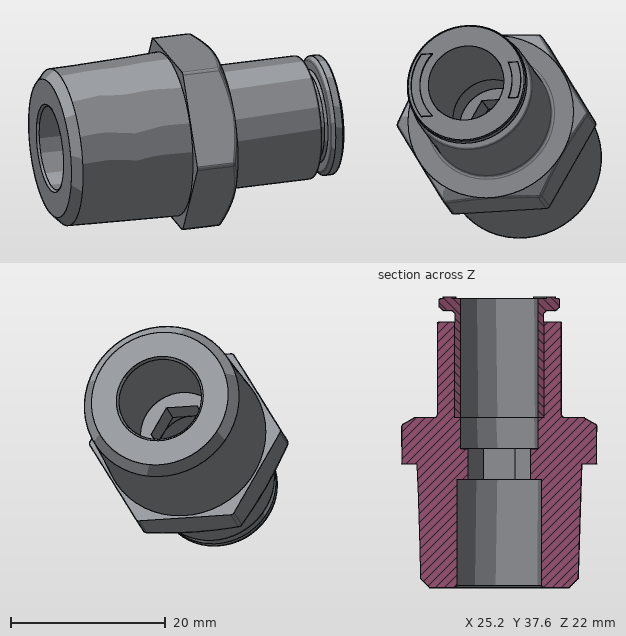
import cadquery as cq
import math


thread_length = 16.0
hex_length = 6.05
hex_end = thread_length + hex_length
sleeve_end = 34.4
collet_end = 37.45

thread_taper = 1 / 16
thread_large_radius = 10.7
thread_chamfer = 1.2

hex_across_flats = 22.0
hex_corner_radius = 0.5
hex_bevel_start_radius = 10.95
hex_bevel_angle = 30.0
hex_bevel_blend = 0.35

sleeve_radius = 8.05
sleeve_rim_round = 0.15
sleeve_root_fillet = 0.4

tube_radius = 5.0
inlet_radius = 5.45
inlet_chamfer = 0.3
inlet_depth = 14.0
key_across_flats = 7.0
key_web_thickness = 4.0
tube_stop = inlet_depth + key_web_thickness
collet_seat = hex_end

collet_radius = 5.75
flange_radius = 7.82
flange_thickness = 1.6
flange_bottom = collet_end - flange_thickness
flange_top_chamfer = 0.15
flange_bevel = 0.5
flange_edge_round = 0.25
neck_flare = 0.35

pad_height = 0.2
pad_inner_radius = 6.1
pad_outer_radius = 7.25
pad_widths = {1: 8.4, -1: 4.8}


def cylinder(radius, start, end):
    """Cylinder about the Y axis between two stations."""
    return cq.Workplane("XZ", origin=(0, start, 0)).circle(radius).extrude(start - end)


def hexagon(across_flats, start, end):
    """Hexagonal prism along Y with two flats facing +Z and -Z."""
    across_corners = across_flats / math.cos(math.radians(30))
    plane = cq.Workplane("XZ", origin=(0, start, 0))
    return plane.polygon(6, across_corners).extrude(start - end)


def revolved(points):
    """Solid turned about Y from a closed (radius, y) outline."""
    return cq.Workplane("XY").polyline(points).close().revolve(360, (0, 0, 0), (0, 1, 0))


def make_thread():
    chamfer_radius = thread_large_radius - thread_taper / 2 * (thread_length - thread_chamfer)
    return revolved([
        (0, 0),
        (chamfer_radius - thread_chamfer, 0),
        (chamfer_radius, thread_chamfer),
        (thread_large_radius, thread_length),
        (0, thread_length),
    ])


def make_hex():
    prism = hexagon(hex_across_flats, thread_length, hex_end).edges("|Y").fillet(hex_corner_radius)
    outer_radius = hex_across_flats
    bevel_drop = (outer_radius - hex_bevel_start_radius) * math.tan(math.radians(hex_bevel_angle))
    bevel_cutter = revolved([
        (hex_bevel_start_radius, hex_end),
        (outer_radius, hex_end),
        (outer_radius, hex_end - bevel_drop),
    ])
    beveled = prism.cut(bevel_cutter)
    bevel_edges = beveled.faces("%CONE").edges("not %CIRCLE")
    return bevel_edges.fillet(hex_bevel_blend)


def make_sleeve():
    sleeve = cylinder(sleeve_radius, hex_end, sleeve_end).faces(">Y").edges().fillet(sleeve_rim_round)
    root_radius = sleeve_radius + sleeve_root_fillet
    root = (
        cq.Workplane("XY")
        .moveTo(0, hex_end)
        .lineTo(root_radius, hex_end)
        .radiusArc((sleeve_radius, hex_end + sleeve_root_fillet), sleeve_root_fillet)
        .lineTo(0, hex_end + sleeve_root_fillet)
        .close()
        .revolve(360, (0, 0, 0), (0, 1, 0))
    )
    return sleeve.union(root)


def make_body():
    """Thread, hexagon and sleeve in one piece, bored from both ends around a hex key web."""
    body = make_thread().union(make_hex()).union(make_sleeve())
    inlet = cylinder(inlet_radius, 0, inlet_depth)
    inlet_mouth = revolved([
        (0, 0),
        (inlet_radius + inlet_chamfer, 0),
        (inlet_radius, inlet_chamfer),
        (0, inlet_chamfer),
    ])
    body = body.cut(inlet).cut(inlet_mouth)
    body = body.cut(hexagon(key_across_flats, inlet_depth, tube_stop))
    body = body.cut(cylinder(tube_radius, tube_stop, collet_seat))
    return body.cut(cylinder(collet_radius, collet_seat, sleeve_end))


def make_pad(side):
    """Raised arc on the collet face; side is +1 or -1 along X."""
    pad_top = collet_end + pad_height
    ring = cylinder(pad_outer_radius, collet_end, pad_top)
    ring = ring.cut(cylinder(pad_inner_radius, collet_end, pad_top))
    window = cq.Workplane("XY").box(pad_outer_radius, pad_height, pad_widths[side])
    window = window.translate((side * pad_outer_radius / 2, collet_end + pad_height / 2, 0))
    return ring.intersect(window)


def make_collet():
    """Release collet: a flanged tube sliding in the sleeve bore."""
    flange = cylinder(flange_radius, flange_bottom, collet_end)
    flange = flange.faces(">Y").edges().chamfer(flange_top_chamfer)
    flange = flange.faces("<Y").edges().chamfer(flange_bevel)
    flange = flange.faces("<Y").edges().fillet(flange_edge_round)
    flare = revolved([
        (0, flange_bottom),
        (collet_radius + neck_flare, flange_bottom),
        (collet_radius, flange_bottom - neck_flare),
        (0, flange_bottom - neck_flare),
    ])
    collet = cylinder(collet_radius, collet_seat, collet_end).union(flange).union(flare)
    collet = collet.cut(cylinder(tube_radius, collet_seat, collet_end))
    for side in pad_widths:
        collet = collet.union(make_pad(side))
    return collet


body = make_body()
collet = make_collet()

result = cq.Compound.makeCompound([body.val(), collet.val()])